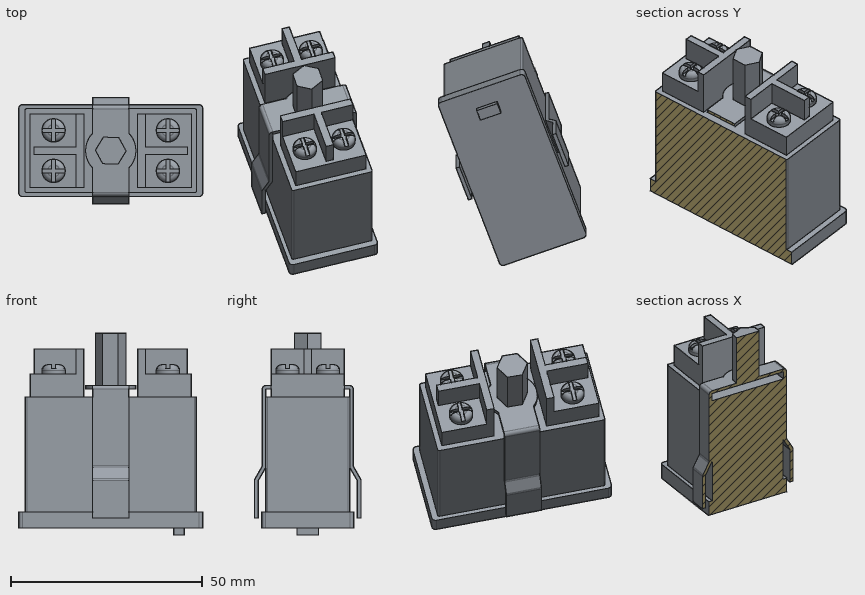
import cadquery as cq
import math

FLANGE_LENGTH = 48.0
FLANGE_DEPTH = 24.0
FLANGE_THICKNESS = 4.2
FLANGE_CORNER_RADIUS = 1.0

BODY_LENGTH = 44.7
BODY_DEPTH = 21.9
BODY_TOP = 34.2
BODY_CORNER_RADIUS = 0.5

FOOT_X = 17.8
FOOT_LENGTH = 2.8
FOOT_DEPTH = 5.7
FOOT_HEIGHT = 1.8

BLOCK_X = 14.0
BLOCK_LENGTH = 14.0
BLOCK_DEPTH = 19.1
BLOCK_TOP = 40.2
BARRIER_TOP = 46.7
BARRIER_THICKNESS = 2.0
RIB_SETBACK = 1.0

SCREW_X = 14.9
SCREW_Y = 5.28
SCREW_RADIUS = 3.05
SCREW_HEIGHT = 2.4
SCREW_EDGE_RADIUS = 1.5
SLOT_WIDTH = 1.0
SLOT_DEPTH = 1.0

CLIP_WIDTH = 9.4
CLIP_THICKNESS = 1.0
CLIP_TOP = 37.2
CLIP_BOTTOM = 2.6
CLIP_SPAN = 27.8
CLIP_UPPER_SPAN = 23.8
CLIP_KINK_TOP = 16.1
CLIP_KINK_ANGLE = 30.0
CLIP_DISC_RADIUS = 6.55

HEX_ACROSS_CORNERS = 8.0
HEX_TOP = 50.8
HEX_ROTATION = -1.5


def block(length, depth, bottom, top, x=0.0, y=0.0):
    """Box centred on (x, y) between two heights."""
    return (
        cq.Workplane("XY", origin=(x, y, bottom))
        .rect(length, depth)
        .extrude(top - bottom)
    )


def make_housing():
    """Flange, body and foot."""
    flange = block(FLANGE_LENGTH, FLANGE_DEPTH, 0, FLANGE_THICKNESS)
    flange = flange.edges("|Z").fillet(FLANGE_CORNER_RADIUS)
    body = block(BODY_LENGTH, BODY_DEPTH, 0, BODY_TOP)
    body = body.edges("|Z").fillet(BODY_CORNER_RADIUS)
    foot = block(FOOT_LENGTH, FOOT_DEPTH, -FOOT_HEIGHT, FLANGE_THICKNESS, x=FOOT_X)
    return flange.union(body).union(foot)


def make_screw():
    """Round-edged screw head with a cross slot, seated on Z = 0."""
    head = cq.Workplane("XY").circle(SCREW_RADIUS).extrude(SCREW_HEIGHT)
    head = head.faces(">Z").edges().fillet(SCREW_EDGE_RADIUS)
    slot_floor = SCREW_HEIGHT - SLOT_DEPTH
    slot_x = block(2 * SCREW_RADIUS, SLOT_WIDTH, slot_floor, SCREW_HEIGHT)
    slot_y = block(SLOT_WIDTH, 2 * SCREW_RADIUS, slot_floor, SCREW_HEIGHT)
    return head.cut(slot_x).cut(slot_y)


def make_terminal(side):
    """Terminal block with T-shaped barrier and two screws; side is -1 or +1 along X."""
    inner_x = BLOCK_X - BLOCK_LENGTH / 2
    outer_x = BLOCK_X + BLOCK_LENGTH / 2
    barrier_x = inner_x + BARRIER_THICKNESS / 2
    rib_length = outer_x - RIB_SETBACK - inner_x
    rib_x = inner_x + rib_length / 2

    terminal = block(BLOCK_LENGTH, BLOCK_DEPTH, BODY_TOP, BLOCK_TOP, x=side * BLOCK_X)
    barrier = block(BARRIER_THICKNESS, BLOCK_DEPTH, BODY_TOP, BARRIER_TOP, x=side * barrier_x)
    rib = block(rib_length, BARRIER_THICKNESS, BODY_TOP, BARRIER_TOP, x=side * rib_x)
    terminal = terminal.union(barrier).union(rib)
    for screw_y in (-SCREW_Y, SCREW_Y):
        terminal = terminal.union(make_screw().translate((side * SCREW_X, screw_y, BLOCK_TOP)))
    return terminal


def make_clip():
    """Bent strip with kinked legs and a round widening at the middle of its top."""
    upper_y = CLIP_UPPER_SPAN / 2
    lower_y = CLIP_SPAN / 2
    kink_angle = math.radians(CLIP_KINK_ANGLE)
    kink_bottom = CLIP_KINK_TOP - (lower_y - upper_y) / math.tan(kink_angle)
    inner_drop = CLIP_THICKNESS * math.tan(kink_angle / 2)

    outer_half = [
        (lower_y, CLIP_BOTTOM),
        (lower_y, kink_bottom),
        (upper_y, CLIP_KINK_TOP),
        (upper_y, CLIP_TOP),
    ]
    inner_half = [
        (upper_y - CLIP_THICKNESS, CLIP_TOP - CLIP_THICKNESS),
        (upper_y - CLIP_THICKNESS, CLIP_KINK_TOP - inner_drop),
        (lower_y - CLIP_THICKNESS, kink_bottom - inner_drop),
        (lower_y - CLIP_THICKNESS, CLIP_BOTTOM),
    ]
    half = outer_half + [(0, CLIP_TOP), (0, CLIP_TOP - CLIP_THICKNESS)] + inner_half
    leg = cq.Workplane("YZ").polyline(half).close().extrude(CLIP_WIDTH / 2, both=True)
    for bend_y, bend_z in outer_half[1:]:
        bend_edge = cq.selectors.NearestToPointSelector((0, bend_y, bend_z))
        leg = leg.edges("|X").edges(bend_edge).fillet(CLIP_THICKNESS)

    disc = (
        cq.Workplane("XY", origin=(0, 0, CLIP_TOP - CLIP_THICKNESS))
        .circle(CLIP_DISC_RADIUS)
        .extrude(CLIP_THICKNESS)
    )
    return leg.union(leg.mirror("XZ")).union(disc)


def make_hex_nut():
    """Tall hexagonal nut standing on the clip."""
    return (
        cq.Workplane("XY", origin=(0, 0, CLIP_TOP))
        .transformed(rotate=(0, 0, HEX_ROTATION))
        .polygon(6, HEX_ACROSS_CORNERS)
        .extrude(HEX_TOP - CLIP_TOP)
    )


result = make_housing()
for side in (-1, 1):
    result = result.union(make_terminal(side))
result = result.union(make_clip()).union(make_hex_nut())